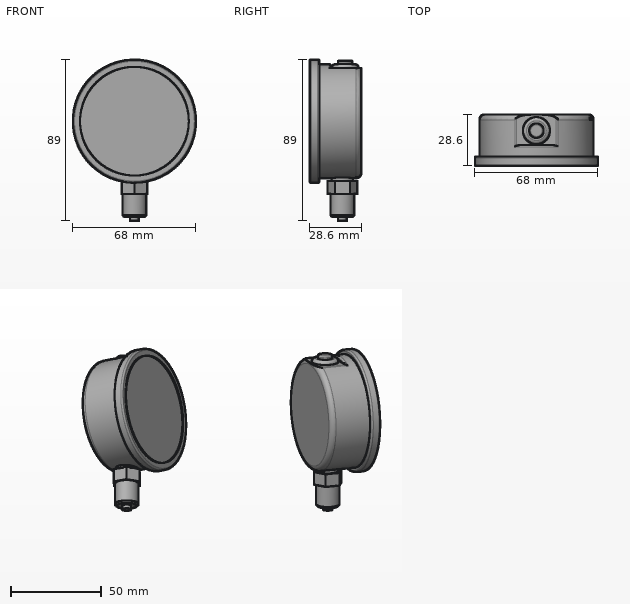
import cadquery as cq
import math


bezel_diameter = 68.0
bezel_depth = 5.4
bezel_round = 1.0
window_diameter = 60.0
window_recess = 0.5

case_diameter = 63.0
case_radius = case_diameter / 2
case_back = 28.6
case_round = 3.0

flat_height = 29.4
flat_half_width = 10.9
flat_outer_half_width = 11.9
flat_front = 11.7
lip_round = 1.0

plug_y = 19.6
plug_diameter = 14.95
plug_top = 31.4
plug_round = plug_top - flat_height
button_diameter = 8.0
button_top = 33.4
button_round = 0.8

stem_y = 18.1
neck_diameter = 12.0
hex_across_flats = 14.2
hex_top = -32.8
hex_bottom = -40.05
stem_diameter = 13.2
stem_bottom = -52.9
stem_chamfer = 1.1
pin_diameter = 5.0
pin_bottom = bezel_diameter / 2 - 89


def dial_disc(diameter, front, back):
    """Disc on the dial axis between two Y positions."""
    return cq.Workplane("XZ", origin=(0, front, 0)).circle(diameter / 2).extrude(front - back)


def upright_cylinder(diameter, y, bottom, top):
    """Cylinder along Z between two heights."""
    return cq.Workplane("XY", origin=(0, y, bottom)).circle(diameter / 2).extrude(top - bottom)


def make_bezel():
    bezel = dial_disc(bezel_diameter, 0, bezel_depth).edges().fillet(bezel_round)
    return bezel.cut(dial_disc(window_diameter, 0, window_recess))


def make_flat_cutter():
    """Space above the flat, with sloping sides and a rounded lip at its front end."""
    lip_front = flat_front - lip_round
    side_height = math.sqrt(case_radius**2 - flat_outer_half_width**2)
    column = (
        cq.Workplane("XZ", origin=(0, lip_front, 0))
        .moveTo(-flat_half_width, flat_height)
        .lineTo(flat_half_width, flat_height)
        .lineTo(flat_outer_half_width, side_height)
        .lineTo(flat_outer_half_width, bezel_diameter / 2)
        .lineTo(-flat_outer_half_width, bezel_diameter / 2)
        .lineTo(-flat_outer_half_width, side_height)
        .close()
        .extrude(lip_front - case_back)
    )
    lip = dial_disc(case_diameter, bezel_depth, flat_front).faces(">Y").edges().fillet(lip_round)
    return column.cut(lip)


def make_case():
    case = dial_disc(case_diameter, window_recess, case_back)
    case = case.faces(">Y").edges().fillet(case_round)
    return case.cut(make_flat_cutter())


def make_plug():
    rim_centre = plug_diameter / 2 - plug_round
    base = upright_cylinder(2 * rim_centre, plug_y, flat_height - plug_round, plug_top)
    rim = cq.Workplane(cq.Solid.makeTorus(
        rim_centre, plug_round, cq.Vector(0, plug_y, plug_top - plug_round), cq.Vector(0, 0, 1)
    ))
    base = base.union(rim)
    button = upright_cylinder(button_diameter, plug_y, flat_height, button_top)
    button = button.faces(">Z").edges().fillet(button_round)
    return base.union(button)


def make_connection():
    neck = upright_cylinder(neck_diameter, stem_y, hex_top, -case_radius / 2)
    hexagon = (
        cq.Workplane("XY", origin=(0, stem_y, hex_bottom))
        .polygon(6, hex_across_flats, circumscribed=True)
        .extrude(hex_top - hex_bottom)
    )
    stem = upright_cylinder(stem_diameter, stem_y, stem_bottom, hex_bottom)
    stem = stem.faces("<Z").edges().chamfer(stem_chamfer)
    pin = upright_cylinder(pin_diameter, stem_y, pin_bottom, stem_bottom)
    return neck.union(hexagon).union(stem).union(pin)


result = make_case().union(make_bezel()).union(make_plug()).union(make_connection())